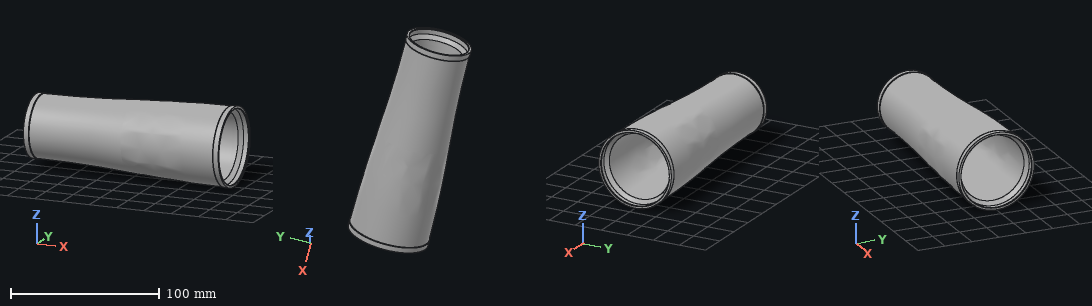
import cadquery as cq

length = 145.0
small_collar_radius = 22.5
large_collar_radius = 28.0
collar_width = 3.8
step_height = 0.3
step_run = 0.5
socket_radius_drop = 1.6
socket_depth = 4.0
socket_cone_length = 2.9
mouth_chamfer_run = 0.6
mouth_chamfer_rise = 0.3
edge_break = 0.3
bore_land = 3.8
wall = 4.2

body_start = collar_width + step_run
body_end = length - body_start
small_body_radius = small_collar_radius - step_height
large_body_radius = large_collar_radius - step_height
bore_start = socket_depth + socket_cone_length


def arc_middle(flat_x, flat_radius, mid_x, mid_radius):
    """Point halfway along an arc that is parallel to the axis at its flat end."""
    run = mid_x - flat_x
    rise = mid_radius - flat_radius
    arc_radius = (run**2 + rise**2) / (2 * abs(rise))
    x = flat_x + run / 2
    sag = arc_radius - (arc_radius**2 - (run / 2) ** 2) ** 0.5
    return (x, flat_radius + (sag if rise > 0 else -sag))


def add_flare(profile, start, end):
    """Continue a profile from start to end by two equal tangent arcs."""
    mid = ((start[0] + end[0]) / 2, (start[1] + end[1]) / 2)
    return (
        profile
        .threePointArc(arc_middle(*start, *mid), mid)
        .threePointArc(arc_middle(*end, *mid), end)
    )


def revolve(profile):
    return profile.close().revolve(360, (0, 0, 0), (1, 0, 0))


outer = (
    cq.Workplane("XY")
    .lineTo(0, small_collar_radius)
    .lineTo(collar_width, small_collar_radius)
    .lineTo(body_start, small_body_radius)
)
outer = add_flare(outer, (body_start, small_body_radius), (body_end, large_body_radius))
outer = (
    outer
    .lineTo(length - collar_width, large_collar_radius)
    .lineTo(length, large_collar_radius)
    .lineTo(length, 0)
)

def socket_profile(collar_radius, body_radius):
    """Distance from the end face and radius of each corner, from the mouth inward."""
    mouth_radius = collar_radius - socket_radius_drop
    socket_radius = mouth_radius - mouth_chamfer_rise
    bore_radius = body_radius - wall
    return [
        (0, mouth_radius),
        (mouth_chamfer_run, socket_radius),
        (socket_depth, socket_radius),
        (bore_start - edge_break, bore_radius + edge_break),
        (bore_start, bore_radius),
        (bore_start + bore_land, bore_radius),
    ]


small_socket = socket_profile(small_collar_radius, small_body_radius)
large_socket = [
    (length - depth, radius)
    for depth, radius in reversed(socket_profile(large_collar_radius, large_body_radius))
]
bore = cq.Workplane("XY").polyline([(0, 0)] + small_socket)
bore = add_flare(bore, small_socket[-1], large_socket[0])
for corner in large_socket[1:]:
    bore = bore.lineTo(*corner)
bore = bore.lineTo(length, 0)

result = revolve(outer).cut(revolve(bore))